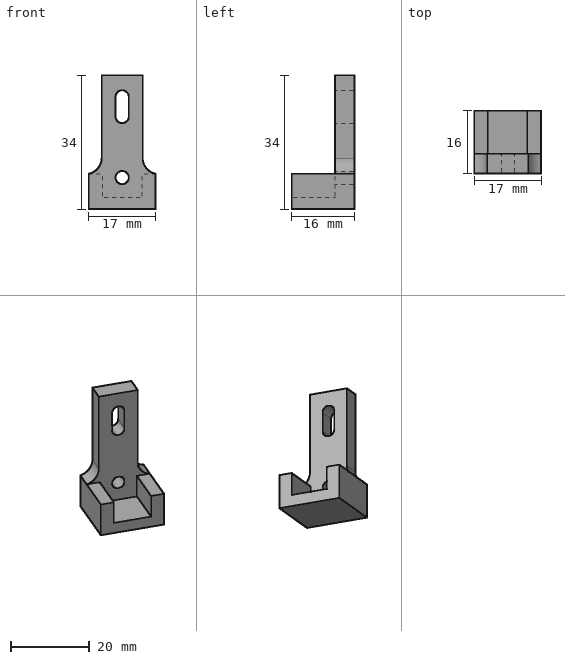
import cadquery as cq
import math

WIDTH = 17.0
DEPTH = 16.0
HEIGHT = 34.0

PLATE_THICKNESS = 5.0
STEM_WIDTH = 10.5
FILLET_RADIUS = 4.0
SHOULDER_Z = 9.0

CHANNEL_WIDTH = 10.0
FLOOR_THICKNESS = 3.0

HOLE_DIAMETER = 3.3
HOLE_Z = 8.0
SLOT_CENTER_Z = 26.0
SLOT_TRAVEL = 5.0

FILLET_CENTER_X = STEM_WIDTH / 2 + FILLET_RADIUS
SHOULDER_DROP = math.sqrt(FILLET_RADIUS**2 - (FILLET_CENTER_X - WIDTH / 2) ** 2)
FILLET_CENTER_Z = SHOULDER_Z + SHOULDER_DROP


def fillet_midpoint(side):
    """Point halfway along the fillet arc on the given side (-1 or +1)."""
    half_sweep = math.asin(SHOULDER_DROP / FILLET_RADIUS) / 2
    x = FILLET_CENTER_X - FILLET_RADIUS * math.cos(half_sweep)
    z = FILLET_CENTER_Z - FILLET_RADIUS * math.sin(half_sweep)
    return (side * x, z)


def make_plate():
    """Upright plate with its front face on y = 0."""
    half_width = WIDTH / 2
    half_stem = STEM_WIDTH / 2
    return (
        cq.Workplane("XZ")
        .moveTo(-half_width, 0)
        .lineTo(half_width, 0)
        .lineTo(half_width, SHOULDER_Z)
        .threePointArc(fillet_midpoint(1), (half_stem, FILLET_CENTER_Z))
        .lineTo(half_stem, HEIGHT)
        .lineTo(-half_stem, HEIGHT)
        .lineTo(-half_stem, FILLET_CENTER_Z)
        .threePointArc(fillet_midpoint(-1), (-half_width, SHOULDER_Z))
        .close()
        .extrude(-PLATE_THICKNESS)
    )


def make_base():
    """U-shaped base: a floor between two side walls, running the full depth."""
    half_width = WIDTH / 2
    half_channel = CHANNEL_WIDTH / 2
    return (
        cq.Workplane("XZ")
        .moveTo(-half_width, 0)
        .lineTo(half_width, 0)
        .lineTo(half_width, SHOULDER_Z)
        .lineTo(half_channel, SHOULDER_Z)
        .lineTo(half_channel, FLOOR_THICKNESS)
        .lineTo(-half_channel, FLOOR_THICKNESS)
        .lineTo(-half_channel, SHOULDER_Z)
        .lineTo(-half_width, SHOULDER_Z)
        .close()
        .extrude(-DEPTH)
    )


def make_openings():
    """Cutters for the round hole and the vertical slot in the plate."""
    hole = (
        cq.Workplane("XZ")
        .center(0, HOLE_Z)
        .circle(HOLE_DIAMETER / 2)
        .extrude(-PLATE_THICKNESS)
    )
    slot = (
        cq.Workplane("XZ")
        .center(0, SLOT_CENTER_Z)
        .slot2D(SLOT_TRAVEL + HOLE_DIAMETER, HOLE_DIAMETER, 90)
        .extrude(-PLATE_THICKNESS)
    )
    return hole.union(slot)


result = make_plate().union(make_base()).cut(make_openings())